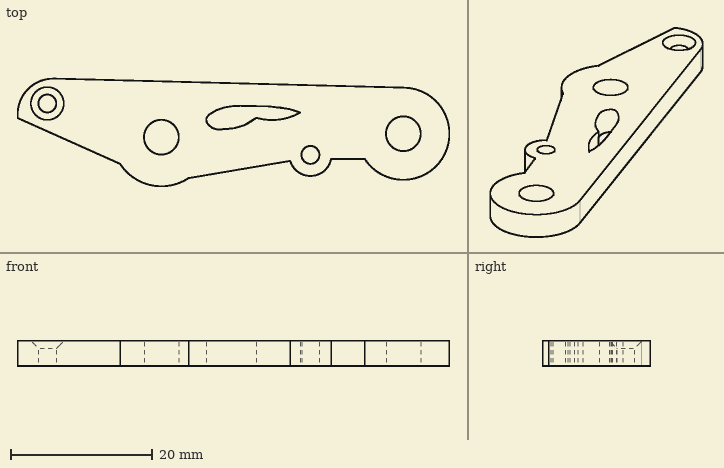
import cadquery as cq
import math

thickness = 3.6

pivot_bore = 4.9
pivot_radius = 7.0
end_x, end_y = 34.3, 0.5
end_radius = 6.55

pin_x, pin_y = 21.1, -2.5
pin_bore = 2.5
pin_radius = 3.0

tip_x, tip_y = -15.3, 3.25
tip_radius = 5.1
tip_corner_y = 2.7

screw_x, screw_y = -16.15, 4.8
screw_bore = 2.5
screw_head = 4.65
countersink_angle = 90

tip_edge_end = (-5.6, -3.9)
middle_edge_start = (3.85, -5.8)
middle_edge_end = (18.3, -3.35)
end_edge_y = -3.1

window_cusp = (13.45, 2.75)
window_lobe = [(11.75, 1.7), (8.8, 1.1), (7.15, 1.35), (6.35, 2.45), (7.8, 3.8), (12.25, 4.4), (18.1, 4.0)]
window_point = (19.65, 3.5)
window_belly = (15.9, 2.45)


def on_circle(x, y, radius, angle):
    """Point on a circle at an angle in radians."""
    return (x + radius * math.cos(angle), y + radius * math.sin(angle))


def disc(x, y, radius):
    return cq.Workplane("XY").center(x, y).circle(radius).extrude(thickness)


def web():
    """Plate between the bosses; its upper edge is tangent to the tip and the end boss."""
    span = math.hypot(end_x - tip_x, end_y - tip_y)
    slope = math.atan2(end_y - tip_y, end_x - tip_x)
    normal = slope + math.acos((tip_radius - end_radius) / span)
    corner_angle = math.pi - math.asin((tip_corner_y - tip_y) / tip_radius)
    arc_middle = (normal + corner_angle) / 2
    return (
        cq.Workplane("XY")
        .moveTo(*on_circle(end_x, end_y, end_radius, normal))
        .lineTo(*on_circle(tip_x, tip_y, tip_radius, normal))
        .threePointArc(
            on_circle(tip_x, tip_y, tip_radius, arc_middle),
            on_circle(tip_x, tip_y, tip_radius, corner_angle),
        )
        .lineTo(*tip_edge_end)
        .lineTo(0, 0)
        .lineTo(*middle_edge_start)
        .lineTo(*middle_edge_end)
        .lineTo(pin_x, end_edge_y)
        .lineTo(end_x, end_edge_y)
        .close()
        .extrude(thickness)
    )


def window():
    return (
        cq.Workplane("XY")
        .moveTo(*window_cusp)
        .spline(window_lobe + [window_point], includeCurrent=True)
        .threePointArc(window_belly, window_cusp)
        .close()
        .extrude(thickness)
    )


result = web()
for x, y, radius in [
    (0, 0, pivot_radius),
    (end_x, end_y, end_radius),
    (pin_x, pin_y, pin_radius),
]:
    result = result.union(disc(x, y, radius))

for x, y, bore in [
    (0, 0, pivot_bore),
    (end_x, end_y, pivot_bore),
    (pin_x, pin_y, pin_bore),
]:
    result = result.cut(disc(x, y, bore / 2))
result = result.cut(window())

result = (
    result.faces(">Z")
    .workplane(origin=(screw_x, screw_y, thickness))
    .cskHole(screw_bore, screw_head, countersink_angle)
)